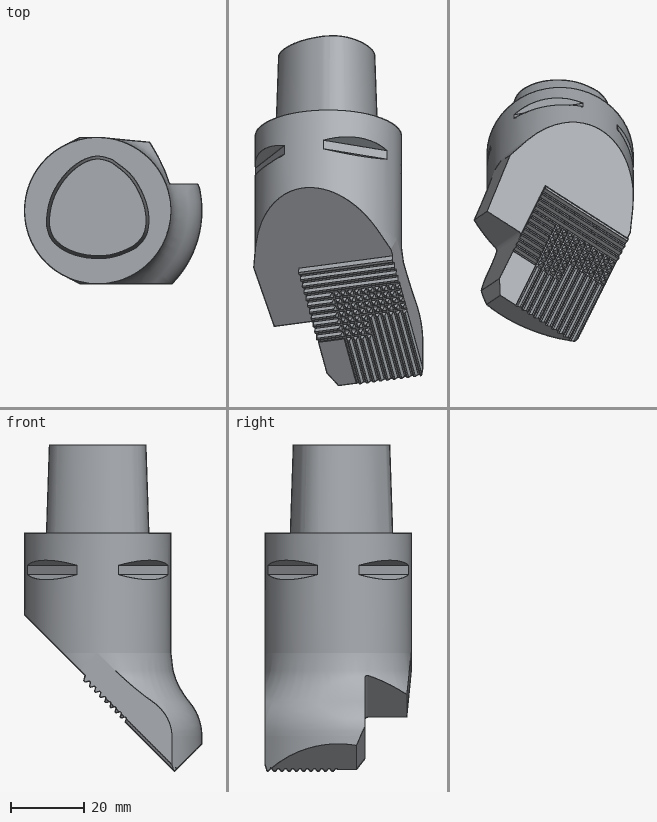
import cadquery as cq
import math

BODY_DIAMETER = 40.0
BODY_RADIUS = BODY_DIAMETER / 2
SHANK_LENGTH = 24.0
TOTAL_LENGTH = 89.0
HEAD_TOP = -32.75
FAR = 133.5

SHANK_BASE_RADIUS = 14.0
SHANK_TOP_RADIUS = 13.2
LOBE_COUNT = 3
LOBE_SPACING = 2 * math.pi / LOBE_COUNT
LOBE_HALF_ANGLE = math.radians(16)
CURVE_POINTS = 7
LOBE_HEIGHT = 0.9

GRIP_COUNT = 4
GRIP_FLOOR_DISTANCE = 17.5
GRIP_FLOOR_HEIGHT = 2.5
GRIP_CENTRE_Z = -10.1
FLANK_ANGLE = math.radians(30)

FLARE_INFLECTION_Z = -45.8
FLARE_END_Z = -55.45
FLARE_DIAMETER = 56.9
FLARE_RADIUS = FLARE_DIAMETER / 2

SLOPE_OFFSET = -42.3
PAD_HEIGHT = 1.25
TOOTH_HEIGHT = 1.0
TEN_PITCHES = 19.8
PLAIN_DEPTH = 0.7
TIP_Z = SHANK_LENGTH - TOTAL_LENGTH
BLADE_BACK_Y = 7.3
BLADE_CORNER_WIDTH = 2.3
BLADE_CORNER_LENGTH = 4.2
SHOULDER_END = 41.1
SHOULDER_BACK_Y = 18.7
SHOULDER_TAPER = math.radians(4)
SHOULDER_FILLET = 0.9

PAD_START = 25.0
FIRST_CROSS_GROOVE = 27.15
SHORT_CROSS_COUNT = 8
LONG_CROSS_COUNT = 11
START_GROOVE = 3
FIRST_LENGTH_GROOVE_Y = -0.5
LENGTH_GROOVE_COUNT = 11
PART_WAY_GROOVE = 4

SLOPE_PLANE = cq.Plane(
    origin=(SLOPE_OFFSET / 2, 0, SLOPE_OFFSET / 2), xDir=(1, 0, -1), normal=(1, 0, 1)
)
BLADE_END = (SLOPE_OFFSET / 2 - TIP_Z) * math.sqrt(2) - PAD_HEIGHT
TOOTH_PITCH = TEN_PITCHES / 10
TOOTH_RUN = TOOTH_HEIGHT * math.tan(FLANK_ANGLE)
VALLEY_WIDTH = TOOTH_PITCH / 2 - TOOTH_RUN
PAD_RUN = PAD_HEIGHT * math.tan(FLANK_ANGLE)
LENGTH_GROOVE_START = FIRST_CROSS_GROOVE + START_GROOVE * TOOTH_PITCH


def on_slope(shape):
    """Move a shape from slope coordinates to part coordinates."""
    return cq.Workplane(obj=shape.val().moved(cq.Location(SLOPE_PLANE)))


def block(x_range, y_range, z_range):
    """Box between the given limits."""
    sizes = [high - low for low, high in (x_range, y_range, z_range)]
    corner = (x_range[0], y_range[0], z_range[0])
    return cq.Workplane("XY").box(*sizes, centered=False).translate(corner)


def lobed_point(mean_radius, angle):
    """Point of the three-lobed outline whose normal points along the angle; one lobe is at +Y."""
    phase = LOBE_COUNT * (angle - math.pi / 2)
    reach = mean_radius + LOBE_HEIGHT * math.cos(phase)
    slope = -LOBE_COUNT * LOBE_HEIGHT * math.sin(phase)
    return (
        reach * math.cos(angle) - slope * math.sin(angle),
        reach * math.sin(angle) + slope * math.cos(angle),
    )


def lobed_outline(mean_radius, z):
    """Closed outline of alternating lobe and flank curves at height z."""
    edges = []
    for i in range(LOBE_COUNT):
        lobe = math.pi / 2 + i * LOBE_SPACING
        limits = (lobe - LOBE_HALF_ANGLE, lobe + LOBE_HALF_ANGLE, lobe + LOBE_SPACING - LOBE_HALF_ANGLE)
        for start, end in zip(limits, limits[1:]):
            step = (end - start) / (CURVE_POINTS - 1)
            angles = [start + k * step for k in range(CURVE_POINTS)]
            points = [cq.Vector(*lobed_point(mean_radius, angle), z) for angle in angles]
            tangents = [cq.Vector(-math.sin(angle), math.cos(angle), 0) for angle in (start, end)]
            edges.append(cq.Edge.makeSpline(points, tangents))
    return cq.Wire.assembleEdges(edges)


def make_shank():
    base = lobed_outline(SHANK_BASE_RADIUS, 0)
    top = lobed_outline(SHANK_TOP_RADIUS, SHANK_LENGTH)
    return cq.Workplane(obj=cq.Solid.makeLoft([base, top], True))


def grip_groove():
    """Straight trapezoidal groove across the +X side of the body."""
    depth = BODY_RADIUS - GRIP_FLOOR_DISTANCE
    floor_half = GRIP_FLOOR_HEIGHT / 2
    mouth_half = floor_half + depth * math.tan(FLANK_ANGLE)
    return (
        cq.Workplane("XZ")
        .polyline([
            (GRIP_FLOOR_DISTANCE, GRIP_CENTRE_Z - floor_half),
            (BODY_RADIUS, GRIP_CENTRE_Z - mouth_half),
            (BODY_RADIUS, GRIP_CENTRE_Z + mouth_half),
            (GRIP_FLOOR_DISTANCE, GRIP_CENTRE_Z + floor_half),
        ])
        .close()
        .extrude(BODY_RADIUS, both=True)
    )


def make_collar():
    """Cylindrical body with its gripper grooves, cut off by the slope."""
    collar = cq.Workplane("XY").circle(BODY_RADIUS).extrude(HEAD_TOP)
    for i in range(GRIP_COUNT):
        angle = (i + 0.5) * 360 / GRIP_COUNT
        collar = collar.cut(grip_groove().rotate((0, 0, 0), (0, 0, 1), angle))
    below_slope = on_slope(block((-FAR, FAR), (-FAR, FAR), (-FAR, 0)))
    return collar.cut(below_slope)


def arc_middle(start, end, turn):
    """Middle point of an arc that turns by the given angle, counter-clockwise if positive."""
    dx = end[0] - start[0]
    dy = end[1] - start[1]
    bulge = math.tan(turn / 4) / 2
    return ((start[0] + end[0]) / 2 + bulge * dy, (start[1] + end[1]) / 2 - bulge * dx)


def make_flare():
    """Body of revolution that flares from the body diameter through an S-shaped curve."""
    fraction = (HEAD_TOP - FLARE_INFLECTION_Z) / (HEAD_TOP - FLARE_END_Z)
    inflection_radius = BODY_RADIUS + fraction * (FLARE_RADIUS - BODY_RADIUS)
    turn = 2 * math.atan2(FLARE_RADIUS - BODY_RADIUS, HEAD_TOP - FLARE_END_Z)
    top = (BODY_RADIUS, HEAD_TOP)
    inflection = (inflection_radius, FLARE_INFLECTION_Z)
    bottom = (FLARE_RADIUS, FLARE_END_Z)
    return (
        cq.Workplane("XZ")
        .moveTo(*top)
        .threePointArc(arc_middle(top, inflection, turn), inflection)
        .threePointArc(arc_middle(inflection, bottom, -turn), bottom)
        .lineTo(FLARE_RADIUS, TIP_Z)
        .lineTo(0, TIP_Z)
        .lineTo(0, HEAD_TOP)
        .close()
        .revolve(360, (0, 0, 0), (0, 1, 0))
    )


def blade_envelope():
    """Space of the blade with its raised tooth pad, in slope coordinates."""
    width = BODY_RADIUS + BLADE_BACK_Y
    blade = (
        cq.Workplane("XZ", origin=(0, BLADE_BACK_Y, 0))
        .polyline([
            (0, 0),
            (PAD_START, 0),
            (PAD_START + PAD_RUN, -PAD_HEIGHT),
            (BLADE_END, -PAD_HEIGHT),
            (BLADE_END, FAR),
            (0, FAR),
        ])
        .close()
        .extrude(width)
    )
    corner = (
        cq.Workplane("XY", origin=(0, 0, -PAD_HEIGHT))
        .polyline([
            (BLADE_END, BLADE_BACK_Y),
            (BLADE_END - BLADE_CORNER_LENGTH, BLADE_BACK_Y),
            (BLADE_END, BLADE_BACK_Y - BLADE_CORNER_WIDTH),
        ])
        .close()
        .extrude(2 * FAR)
    )
    return blade.cut(corner)


def shoulder_envelope():
    """Space of the wide shoulder, whose back face tapers, in slope coordinates."""
    back_y_at_start = SHOULDER_BACK_Y + SHOULDER_END * math.tan(SHOULDER_TAPER)
    return (
        cq.Workplane("XY")
        .polyline([
            (0, -BODY_RADIUS),
            (SHOULDER_END, -BODY_RADIUS),
            (SHOULDER_END, SHOULDER_BACK_Y),
            (0, back_y_at_start),
        ])
        .close()
        .extrude(FAR)
    )


def shoulder_fillet():
    """Rounding in the corner between the shoulder end and the blade, in slope coordinates."""
    return (
        cq.Workplane("XY")
        .moveTo(SHOULDER_END, BLADE_BACK_Y)
        .lineTo(SHOULDER_END + SHOULDER_FILLET, BLADE_BACK_Y)
        .radiusArc((SHOULDER_END, BLADE_BACK_Y + SHOULDER_FILLET), SHOULDER_FILLET)
        .close()
        .extrude(FAR)
    )


def tooth_groove(workplane, position, start, end):
    """Trapezoidal groove between two teeth, from start to end along the workplane normal."""
    return (
        workplane.workplane(offset=start)
        .polyline([
            (position - VALLEY_WIDTH / 2, TOOTH_HEIGHT - PAD_HEIGHT),
            (position + VALLEY_WIDTH / 2, TOOTH_HEIGHT - PAD_HEIGHT),
            (position + VALLEY_WIDTH / 2 + TOOTH_RUN, -PAD_HEIGHT),
            (position - VALLEY_WIDTH / 2 - TOOTH_RUN, -PAD_HEIGHT),
        ])
        .close()
        .extrude(end - start)
    )


def cut_serrations(head):
    part_way_y = FIRST_LENGTH_GROOVE_Y - PART_WAY_GROOVE * TOOTH_PITCH
    for i in range(LONG_CROSS_COUNT):
        position = FIRST_CROSS_GROOVE + i * TOOTH_PITCH
        front_y = -BODY_RADIUS if i < SHORT_CROSS_COUNT else part_way_y
        groove = tooth_groove(cq.Workplane("XZ"), position, -BLADE_BACK_Y, -front_y)
        head = head.cut(on_slope(groove))

    for i in range(LENGTH_GROOVE_COUNT):
        position = FIRST_LENGTH_GROOVE_Y - i * TOOTH_PITCH
        groove = tooth_groove(cq.Workplane("YZ"), position, LENGTH_GROOVE_START, BLADE_END)
        head = head.cut(on_slope(groove))

    plain_start = FIRST_CROSS_GROOVE + (LONG_CROSS_COUNT - 1) * TOOTH_PITCH
    plain_area = block(
        (plain_start, BLADE_END),
        (FIRST_LENGTH_GROOVE_Y, BLADE_BACK_Y),
        (-PAD_HEIGHT, PLAIN_DEPTH - PAD_HEIGHT),
    )
    return head.cut(on_slope(plain_area))


def make_head():
    envelope = blade_envelope().union(shoulder_envelope()).union(shoulder_fillet())
    return cut_serrations(make_flare().intersect(on_slope(envelope)))


shank = make_shank()
holder = make_collar().union(make_head())
result = cq.Compound.makeCompound([shank.val(), holder.val()])